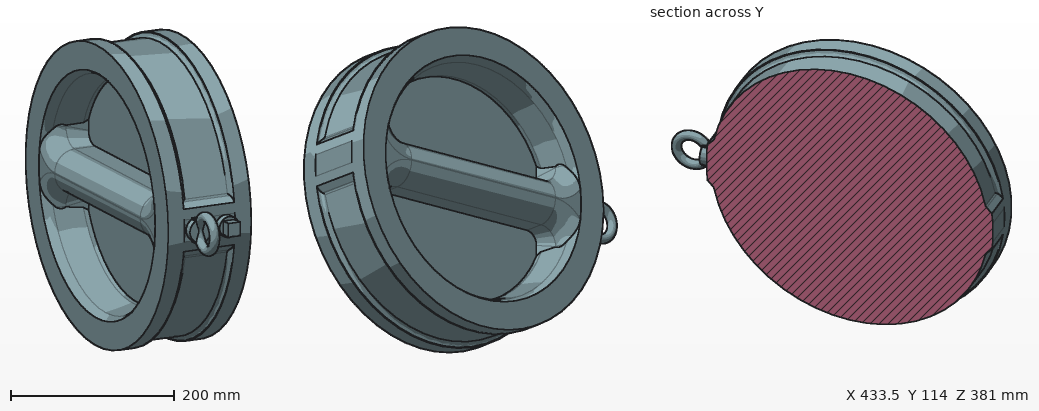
import cadquery as cq
import math

body_diameter = 381.0
body_radius = body_diameter / 2
body_width = 114.0
front_y = -body_width / 2

overlap = 4.5
tolerance = 0.5

groove_width = 69.5
groove_floor_radius = 184.0
groove_fillet = 5.5
pad_half_height = 27.0
pad_wall_angle = 46.0
pad_root_depth = 17.5
flat_half_height = 14.0
flat_x = math.sqrt(body_radius**2 - flat_half_height**2)

cavity_depth = 55.5
cavity_floor_radius = 142.0
mouth_radius = 155.0
mouth_rounding_depth = 12.0
mouth_rounding_radius = 149.5
seat_height = 6.5
floor_y = front_y + cavity_depth

bar_half_height = 27.7
bar_half_length = 114.0
bar_top_gap = 0.5
bar_rounding = 27.5
end_wall_floor_x = 130.0
end_wall_top_x = 137.0
bar_block_end_x = end_wall_top_x + bar_rounding + overlap
bar_block_half_height = body_radius / 2

collar_end_x = 200.3
plug_y = 21.5
plug_diameter = 26.5
plug_head_end_x = 213.3
plug_head_width = 16.0
plug_head_height = 17.5
eye_y = -17.5
eye_collar_diameter = 30.0
eye_hole_diameter = 30.0
eye_tube_diameter = 12.0
eye_ring_radius = (eye_hole_diameter + eye_tube_diameter) / 2
overall_length = 433.5
eye_tip_x = overall_length - body_radius
eye_x = eye_tip_x - eye_ring_radius - eye_tube_diameter / 2
eye_root_width = 14.5


def y_cylinder(radius, start_y, length):
    """Cylinder about the Y axis, running from start_y towards +Y."""
    return cq.Workplane("XZ", origin=(0, start_y, 0)).circle(radius).extrude(-length)


def x_cylinder(diameter, y, end_x):
    """Cylinder along X, rooted in the body and ending at end_x."""
    root_x = flat_x - overlap
    return cq.Workplane("YZ", origin=(root_x, y, 0)).circle(diameter / 2).extrude(end_x - root_x)


def make_upper_groove():
    """Cutter for the groove above the two pads, its floor edges rounded."""
    groove_start = -groove_width / 2
    ring = y_cylinder(body_radius + overlap, groove_start, groove_width)
    ring = ring.cut(y_cylinder(groove_floor_radius, groove_start, groove_width))
    below = cq.Workplane("XY").box(3 * body_radius, groove_width, 2 * body_radius)
    ring = ring.cut(below.translate((0, 0, -body_radius)))
    rim_x = math.sqrt(body_radius**2 - pad_half_height**2)
    slope = math.tan(math.radians(pad_wall_angle))
    inner_x = groove_floor_radius - pad_root_depth
    outer_x = body_radius + 2 * overlap
    inner_z = pad_half_height + (rim_x - inner_x) * slope
    outer_z = pad_half_height + (rim_x - outer_x) * slope
    for side in (1, -1):
        pad = (
            cq.Workplane("XZ", origin=(0, groove_start, 0))
            .moveTo(side * inner_x, 0)
            .lineTo(side * outer_x, 0)
            .lineTo(side * outer_x, outer_z)
            .lineTo(side * inner_x, inner_z)
            .close()
            .extrude(-groove_width)
        )
        ring = ring.cut(pad)
    return ring.faces("%CYLINDER").faces("<Z").edges().fillet(groove_fillet)


def draw_bar_outline(plane, end_wall_x):
    """Bar with concave flares that open into a tall block at each end."""
    flare = end_wall_x - bar_half_length
    flare_z = bar_half_height + flare
    mid_x = bar_half_length + flare * math.sin(math.pi / 4)
    mid_z = flare_z - flare * math.cos(math.pi / 4)
    return (
        plane.moveTo(-bar_block_end_x, bar_block_half_height)
        .lineTo(-end_wall_x, bar_block_half_height)
        .lineTo(-end_wall_x, flare_z)
        .threePointArc((-mid_x, mid_z), (-bar_half_length, bar_half_height))
        .lineTo(bar_half_length, bar_half_height)
        .threePointArc((mid_x, mid_z), (end_wall_x, flare_z))
        .lineTo(end_wall_x, bar_block_half_height)
        .lineTo(bar_block_end_x, bar_block_half_height)
        .lineTo(bar_block_end_x, -bar_block_half_height)
        .lineTo(end_wall_x, -bar_block_half_height)
        .lineTo(end_wall_x, -flare_z)
        .threePointArc((mid_x, -mid_z), (bar_half_length, -bar_half_height))
        .lineTo(-bar_half_length, -bar_half_height)
        .threePointArc((-mid_x, -mid_z), (-end_wall_x, -flare_z))
        .lineTo(-end_wall_x, -bar_block_half_height)
        .lineTo(-bar_block_end_x, -bar_block_half_height)
        .close()
    )


def make_bar():
    """Bar rounded along its crest, on a base whose end walls lean outwards."""
    shoulder_y = front_y + bar_top_gap + bar_rounding
    base_plane = cq.Workplane("XZ", origin=(0, floor_y, 0))
    base = draw_bar_outline(base_plane, end_wall_floor_x)
    base = draw_bar_outline(base.workplane(offset=floor_y - shoulder_y), end_wall_top_x)
    base = base.loft(ruled=True)
    crest_plane = cq.Workplane("XZ", origin=(0, shoulder_y + tolerance, 0))
    crest = draw_bar_outline(crest_plane, end_wall_top_x).extrude(bar_rounding + tolerance)
    select_x = end_wall_top_x + tolerance
    select_z = bar_block_half_height - tolerance
    inner_edges = cq.selectors.BoxSelector(
        (-select_x, -body_width, -select_z), (select_x, body_width, select_z)
    )
    crest = crest.faces("<Y").edges(inner_edges).fillet(bar_rounding)
    bar = base.union(crest)
    return bar.intersect(y_cylinder(mouth_radius, front_y, body_width))


def make_cavity():
    """Cavity with a rounded mouth, a tapered wall and a short straight land at the floor."""
    seat_y = floor_y - seat_height
    rounding_y = front_y + mouth_rounding_depth
    return (
        cq.Workplane("XY")
        .moveTo(0, floor_y)
        .lineTo(cavity_floor_radius, floor_y)
        .lineTo(cavity_floor_radius, seat_y)
        .lineTo(mouth_rounding_radius, rounding_y)
        .tangentArcPoint((mouth_radius, front_y), relative=False)
        .lineTo(0, front_y)
        .close()
        .revolve(360, (0, 0, 0), (0, 1, 0))
    )


def make_plug():
    """Round plug with a rectangular head."""
    head_length = plug_head_end_x - collar_end_x
    head = cq.Workplane("XY").box(head_length, plug_head_width, plug_head_height)
    head = head.translate((collar_end_x + head_length / 2, plug_y, 0))
    return x_cylinder(plug_diameter, plug_y, collar_end_x).union(head)


def make_eye_bolt():
    """Collar, flat root and ring; the ring's axis is parallel to Y."""
    center = cq.Vector(eye_x, eye_y, 0)
    axis = cq.Vector(0, 1, 0)
    torus = cq.Solid.makeTorus(eye_ring_radius, eye_tube_diameter / 2, center, axis)
    ring = cq.Workplane("XY").add(torus)
    root_length = collar_end_x - flat_x + overlap
    root = cq.Workplane("XY").box(root_length, eye_root_width, eye_collar_diameter)
    root = root.translate((collar_end_x - root_length / 2, eye_y, 0))
    return x_cylinder(eye_collar_diameter, eye_y, collar_end_x).union(root).union(ring)


body = y_cylinder(body_radius, front_y, body_width)
upper_groove = make_upper_groove()
body = body.cut(upper_groove).cut(upper_groove.mirror("XY"))
for side in (1, -1):
    flat = cq.Workplane("XY").box(2 * overlap, groove_width, 4 * flat_half_height)
    body = body.cut(flat.translate((side * (flat_x + overlap), 0, 0)))
body = body.cut(make_cavity()).union(make_bar())
result = body.union(make_plug()).union(make_eye_bolt())